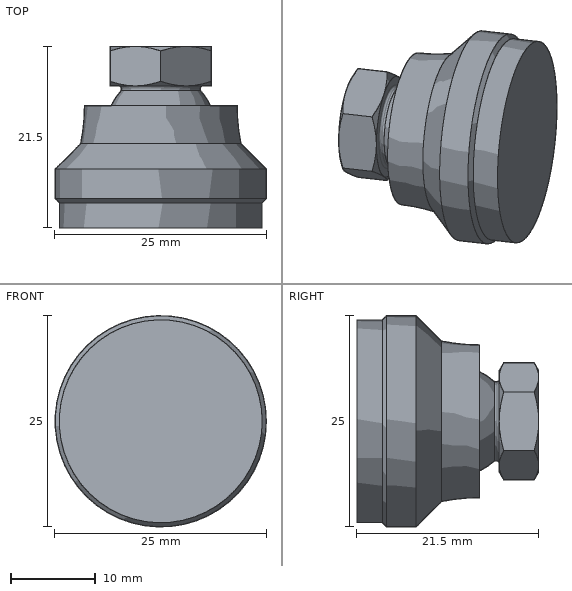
import cadquery as cq
import math

foot_radius = 12.0
body_radius = 12.5
foot_length = 3.0
rim_end = 7.0
shoulder_end = 10.0
collar_end = 14.5
collar_top_radius = 9.05
ball_center = 11.85
ball_radius = 6.45
neck_radius = 4.7
neck_fillet = 0.28
total_length = 21.5
hex_thickness = 4.68
hex_flats = 12.0
hex_chamfer_angle = 30.0

neck_start = ball_center + math.sqrt(ball_radius**2 - neck_radius**2)
rim_chamfer = body_radius - foot_radius
shoulder_radius = body_radius - (shoulder_end - rim_end)
hex_start = total_length - hex_thickness
hex_face_radius = hex_flats / 2
hex_corners = hex_flats / math.cos(math.radians(30))


def make_turned_body():
    """Foot, rim, cone, flared collar, ball and neck as one turned profile."""
    flare_rise = shoulder_radius - collar_top_radius
    flare_length = collar_end - shoulder_end
    flare_radius = (flare_length**2 + flare_rise**2) / (2 * flare_rise)
    half_length = flare_length / 2
    flare_middle_radius = collar_top_radius + flare_radius - math.sqrt(flare_radius**2 - half_length**2)

    def ball_point(station):
        return math.sqrt(ball_radius**2 - (station - ball_center) ** 2), station

    fillet_middle = neck_fillet * (1 - math.sqrt(0.5))
    return (
        cq.Workplane("XY")
        .lineTo(foot_radius, 0)
        .lineTo(foot_radius, foot_length)
        .lineTo(body_radius, foot_length + rim_chamfer)
        .lineTo(body_radius, rim_end)
        .lineTo(shoulder_radius, shoulder_end)
        .threePointArc((flare_middle_radius, collar_end - half_length), (collar_top_radius, collar_end))
        .lineTo(*ball_point(collar_end))
        .threePointArc(ball_point((collar_end + neck_start) / 2), (neck_radius, neck_start))
        .lineTo(neck_radius, hex_start - neck_fillet)
        .threePointArc(
            (neck_radius + fillet_middle, hex_start - fillet_middle),
            (neck_radius + neck_fillet, hex_start),
        )
        .lineTo(0, hex_start)
        .close()
        .revolve(360, (0, 0), (0, 1))
    )


def make_hexagon():
    """Hexagon with corners along Z and conically chamfered at both ends."""
    corner_radius = hex_corners / 2
    chamfer_depth = (corner_radius - hex_face_radius) * math.tan(math.radians(hex_chamfer_angle))
    hexagon = (
        cq.Workplane("XZ", origin=(0, hex_start, 0))
        .transformed(rotate=(0, 0, 90))
        .polygon(6, hex_corners)
        .extrude(-hex_thickness)
    )
    envelope = (
        cq.Workplane("XY")
        .moveTo(0, hex_start)
        .lineTo(hex_face_radius, hex_start)
        .lineTo(corner_radius, hex_start + chamfer_depth)
        .lineTo(corner_radius, total_length - chamfer_depth)
        .lineTo(hex_face_radius, total_length)
        .lineTo(0, total_length)
        .close()
        .revolve(360, (0, 0), (0, 1))
    )
    return hexagon.intersect(envelope)


result = make_turned_body().union(make_hexagon())